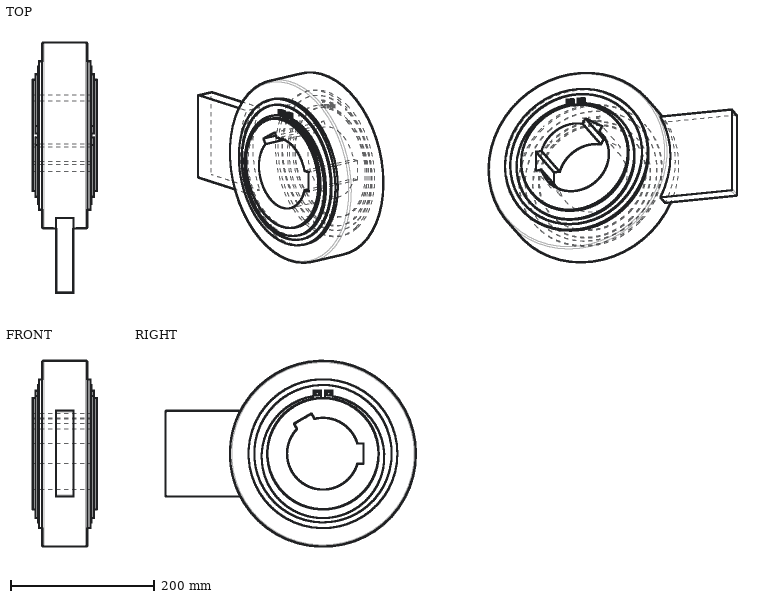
import cadquery as cq

housing_radius = 130.0
housing_half_width = 31.5
rim_fillet = 2.5

shoulder_radius = 104.0
shoulder_half_width = 36.0
cover_radius = 96.0
cover_half_width = 37.6
hub_radius = 78.0
hub_half_width = 45.0
hub_chamfer = 0.5

ring_half_width = 41.0
ring_outer_radius = 85.7
ring_offset = 4.3
ring_gap = 6.0
lug_width = 10.0
lug_top = 88.0
lug_root = 70.0
eyelet_diameter = 5.5
eyelet_height = 83.7

bore_radius = 50.0
key_width = 28.0
key_floor = 56.4
keyway_angles = (0.0, 120.0)

arm_reach = 220.0
arm_height = 120.0
arm_thickness = 24.0
arm_root = 100.0
arm_fillet = 2.0


def disc(radius, half_width):
    """Disc about the X axis, centred on the YZ plane."""
    return cq.Workplane("YZ", origin=(-half_width, 0, 0)).circle(radius).extrude(2 * half_width)


def make_housing():
    return disc(housing_radius, housing_half_width).edges().fillet(rim_fillet)


def make_hub():
    return disc(hub_radius, hub_half_width).faces("<X or >X").chamfer(hub_chamfer)


def make_arm():
    length = arm_reach - arm_root
    arm = cq.Workplane("XY").box(arm_thickness, length, arm_height)
    arm = arm.edges("<Y and |X").fillet(arm_fillet)
    return arm.translate((0, -(arm_root + arm_reach) / 2, 0))


def make_retaining_rings():
    """Both rings, as one section running the full distance between their outer faces."""
    lug_centre = (ring_gap + lug_width) / 2
    ring = disc(ring_outer_radius, ring_half_width).translate((0, 0, -ring_offset))
    for side in (-1, 1):
        lug = cq.Workplane("XY").box(2 * ring_half_width, lug_width, lug_top - lug_root)
        ring = ring.union(lug.translate((0, side * lug_centre, (lug_top + lug_root) / 2)))
    gap = cq.Workplane("XY").box(2 * ring_half_width, ring_gap, lug_top)
    ring = ring.cut(gap.translate((0, 0, lug_top / 2)))
    eyelets = (
        cq.Workplane("YZ")
        .pushPoints([(-lug_centre, eyelet_height), (lug_centre, eyelet_height)])
        .circle(eyelet_diameter / 2)
        .extrude(ring_half_width, both=True)
    )
    return ring.cut(eyelets)


def make_bore():
    bore = disc(bore_radius, hub_half_width)
    for angle in keyway_angles:
        keyway = cq.Workplane("XY").box(2 * hub_half_width, key_floor, key_width)
        keyway = keyway.translate((0, key_floor / 2, 0))
        bore = bore.union(keyway.rotate((0, 0, 0), (1, 0, 0), angle))
    return bore


result = (
    make_housing()
    .union(disc(shoulder_radius, shoulder_half_width))
    .union(disc(cover_radius, cover_half_width))
    .union(make_hub())
    .union(make_retaining_rings())
    .union(make_arm())
    .cut(make_bore())
)